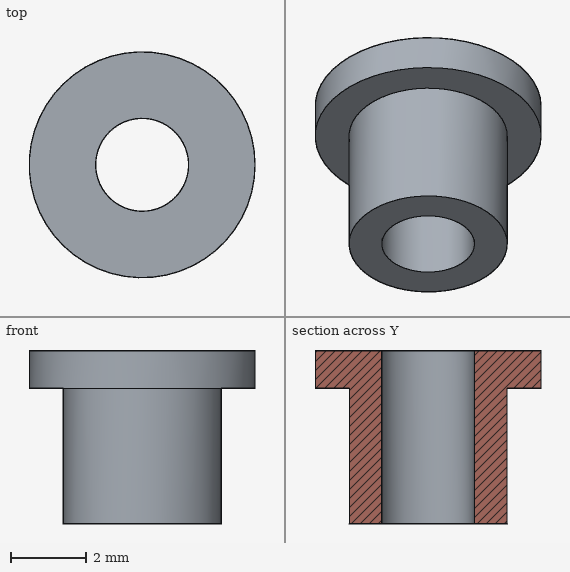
import cadquery as cq

flange_diameter = 6.0
flange_thickness = 1.0
sleeve_diameter = 4.2
sleeve_length = 3.6
bore_diameter = 2.46

total_height = sleeve_length + flange_thickness


def cylinder(diameter, height, base_z=0.0):
    """Upright cylinder centred on the Z axis."""
    return cq.Workplane("XY").workplane(offset=base_z).circle(diameter / 2).extrude(height)


sleeve = cylinder(sleeve_diameter, sleeve_length)
flange = cylinder(flange_diameter, flange_thickness, base_z=sleeve_length)
bore = cylinder(bore_diameter, total_height)

result = sleeve.union(flange).cut(bore)